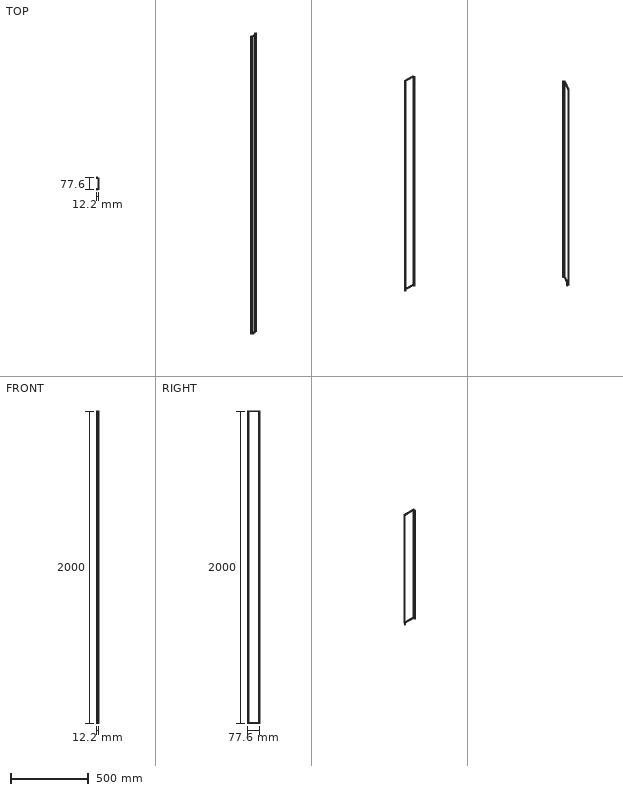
import math

import cadquery as cq


length = 2000.0
overall_width = 77.59
depth = 12.2
thickness = 2.7
clear_width = 65.0
lip_angle = 85.0
bend_outer_radius = 3.0
web_corner_radius = 0.3

web_outer_x = depth / 2
web_inner_x = web_outer_x - thickness
lip_tip_x = -depth / 2
wall_inner_y = clear_width / 2
wall_outer_y = wall_inner_y + thickness
bend_inner_radius = bend_outer_radius - thickness

lip_turn = math.radians(lip_angle)
lip_tip_y = overall_width / 2 - thickness * math.cos(lip_turn)
bend_center_y = wall_inner_y + bend_outer_radius
bend_end_y = bend_center_y - bend_outer_radius * math.cos(lip_turn)
lip_length = (lip_tip_y - bend_end_y) / math.sin(lip_turn)
bend_end_x = lip_tip_x + lip_length * math.cos(lip_turn)
bend_center_x = bend_end_x + bend_outer_radius * math.sin(lip_turn)


def bend_point(radius, turn):
    """Point on the lip bend at a radius, after turning away from the wall."""
    return (
        bend_center_x - radius * math.sin(turn),
        bend_center_y - radius * math.cos(turn),
    )


def half_channel():
    """The +Y half of the channel: half the web, one wall and its lip."""
    lip_outer_end = (
        lip_tip_x + thickness * math.sin(lip_turn),
        lip_tip_y + thickness * math.cos(lip_turn),
    )
    profile = (
        cq.Workplane("XY")
        .moveTo(web_inner_x, 0)
        .lineTo(web_inner_x, wall_inner_y)
        .lineTo(*bend_point(bend_outer_radius, 0))
        .threePointArc(
            bend_point(bend_outer_radius, lip_turn / 2),
            bend_point(bend_outer_radius, lip_turn),
        )
        .lineTo(lip_tip_x, lip_tip_y)
        .lineTo(*lip_outer_end)
        .lineTo(*bend_point(bend_inner_radius, lip_turn))
        .threePointArc(
            bend_point(bend_inner_radius, lip_turn / 2),
            bend_point(bend_inner_radius, 0),
        )
        .lineTo(web_outer_x - web_corner_radius, wall_outer_y)
        .radiusArc((web_outer_x, wall_outer_y - web_corner_radius), web_corner_radius)
        .lineTo(web_outer_x, 0)
        .close()
    )
    return profile.extrude(length)


half = half_channel()
result = half.union(half.mirror("XZ")).clean()